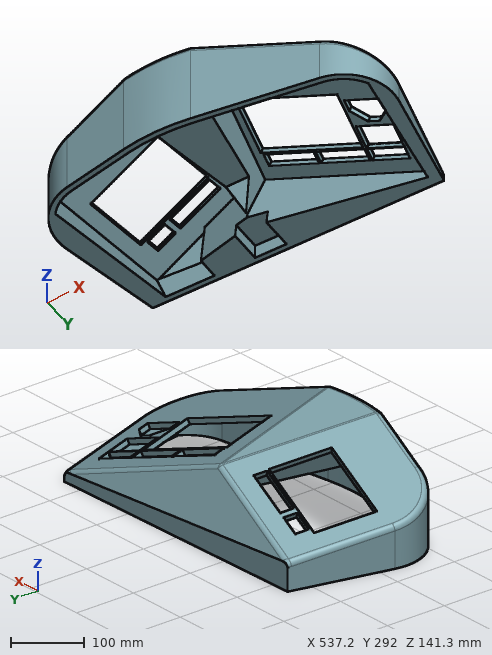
import math

import cadquery as cq

WALL = 9.0
END_WALL = 12.0
EDGE_RADIUS = 9.5
WINDOW_DEPTH = 12.0
BEHIND = 376.0
BLANK_HEIGHT = 215.0
CUT_SIZE = 2148.5

LEFT_BACK = (-189.5, 282.0)
LEFT_CORNER = (-245.0, 39.0)
NOSE_LEFT = (-57.0, 5.0)
NOSE_TIP = (0.0, 0.0)
NOSE_RIGHT = (52.0, 4.5)
RIGHT_CORNER = (324.0, 48.0)
RIGHT_BACK = (275.5, 292.0)
LEFT_CORNER_RADIUS = 82.0
RIGHT_CORNER_RADIUS = 80.5

APEX = (0.0, 246.0, 110.5)
RIDGE_FRONT_HEIGHT = 142.0
LEFT_BACK_HEIGHT = 43.0
RIGHT_BACK_HEIGHT = 15.5

LEFT_HEADING = -10.2
RIGHT_HEADING = 8.9

SMALL_ROW = (-53.5, -33.5)
MAIN_ROW = (-153.5, -57.5)
SIDE_ROW = (-95.0, -55.5)

LEFT_WINDOWS = [
    ((-168.5, -35.5), MAIN_ROW),
    ((-159.5, -125.0), SMALL_ROW),
    ((-115.5, -37.0), SMALL_ROW),
]
RIGHT_WINDOWS = [
    ((36.0, 196.5), MAIN_ROW),
    ((39.0, 117.5), SMALL_ROW),
    ((121.0, 197.5), SMALL_ROW),
    ((201.5, 260.5), SMALL_ROW),
    ((201.5, 260.5), SIDE_ROW),
]
HOOD_WINDOW = [(203.0, -142.5), (203.0, -123.5), (224.0, -103.0), (242.0, -103.0), (262.5, -123.0), (262.5, -142.5)]

BACK_INSET = 21.0
WEB_HEIGHT = 72.0
WEB_SLOPE_START = 201.5
WEB_SIDE_OFFSET = 22.5
WEB_BLANK_HALF_WIDTH = 161.0
RECESS_EDGE = -85.5
NOTCH_LEFT = -20.5
NOTCH_RIGHT = 29.5
NOTCH_HEIGHT = 23.0


def raised(point, height):
    """Plan point lifted to a height."""
    return cq.Vector(point[0], point[1], height)


def panel_normal(origin, second, third):
    """Upward unit normal of the plane through three points."""
    normal = (second - origin).cross(third - origin).normalized()
    return normal if normal.z > 0 else normal * -1


def trim_beyond(body, origin, normal):
    """Remove what lies on the normal's side of a plane."""
    plane = cq.Plane(origin=origin, normal=normal)
    return body.cut(cq.Workplane(plane).rect(CUT_SIZE, CUT_SIZE).extrude(CUT_SIZE))


APEX_POINT = cq.Vector(*APEX)
RIDGE_LEFT = raised(NOSE_LEFT, RIDGE_FRONT_HEIGHT)
RIDGE_RIGHT = raised(NOSE_RIGHT, RIDGE_FRONT_HEIGHT)
LEFT_BACK_POINT = raised(LEFT_BACK, LEFT_BACK_HEIGHT)
RIGHT_BACK_POINT = raised(RIGHT_BACK, RIGHT_BACK_HEIGHT)
LEFT_PANEL = (APEX_POINT, LEFT_BACK_POINT, RIDGE_LEFT)
MIDDLE_PANEL = (APEX_POINT, RIDGE_LEFT, RIDGE_RIGHT)
RIGHT_PANEL = (APEX_POINT, RIDGE_RIGHT, RIGHT_BACK_POINT)
BACK_SLOPE = (APEX_POINT, LEFT_BACK_POINT, RIGHT_BACK_POINT)


def under_roof(body, drop=0.0):
    """Trim a body to the roof faces, all lowered by drop along their normals."""
    for panel in (LEFT_PANEL, MIDDLE_PANEL, RIGHT_PANEL, BACK_SLOPE):
        normal = panel_normal(*panel)
        body = trim_beyond(body, APEX_POINT - normal * drop, normal)
    return body


def footprint_prism():
    """Blank over the whole outline, with its two front corners rounded."""
    prism = (
        cq.Workplane("XY")
        .moveTo(*LEFT_BACK)
        .lineTo(*LEFT_CORNER)
        .lineTo(*NOSE_LEFT)
        .threePointArc(NOSE_TIP, NOSE_RIGHT)
        .lineTo(*RIGHT_CORNER)
        .lineTo(*RIGHT_BACK)
        .close()
        .extrude(BLANK_HEIGHT)
    )
    corners = ((LEFT_CORNER, LEFT_CORNER_RADIUS), (RIGHT_CORNER, RIGHT_CORNER_RADIUS))
    for corner, radius in corners:
        upright = cq.selectors.NearestToPointSelector((*corner, BLANK_HEIGHT / 2))
        prism = prism.edges("|Z").edges(upright).fillet(radius)
    return prism


def rounded_roof_edges(body):
    """Round every roof edge except the one along the straight back wall."""
    back_line = min(LEFT_BACK[1], RIGHT_BACK[1])

    def is_rounded(edge):
        ends = (edge.startPoint(), edge.endPoint())
        on_base = min(end.z for end in ends) < EDGE_RADIUS
        on_back_wall = min(end.y for end in ends) > back_line - EDGE_RADIUS
        return not on_base and not on_back_wall

    edges = [edge for edge in body.edges().vals() if is_rounded(edge)]
    return body.newObject(edges).fillet(EDGE_RADIUS)


def web():
    """Wedge hanging below the ridges, its sides square to the panels, sloping down to the back block."""
    wedge = (
        cq.Workplane("YZ")
        .polyline([
            (-WALL, WEB_HEIGHT),
            (WEB_SLOPE_START, WEB_HEIGHT),
            (APEX[1] - BACK_INSET, NOTCH_HEIGHT),
            (BEHIND, NOTCH_HEIGHT),
            (BEHIND, BLANK_HEIGHT),
            (-WALL, BLANK_HEIGHT),
        ])
        .close()
        .extrude(WEB_BLANK_HALF_WIDTH, both=True)
    )
    left_side = (RIDGE_LEFT - APEX_POINT).cross(panel_normal(*LEFT_PANEL)).normalized()
    right_side = panel_normal(*RIGHT_PANEL).cross(RIDGE_RIGHT - APEX_POINT).normalized()
    for side in (left_side, right_side):
        wedge = trim_beyond(wedge, APEX_POINT + side * WEB_SIDE_OFFSET, side)
    return wedge


def back_block():
    """Thick back wall whose V-shaped front is square to both panels."""
    block = (
        cq.Workplane("XY")
        .box(RIGHT_CORNER[0] - RECESS_EDGE, BEHIND, BLANK_HEIGHT, centered=False)
        .translate((RECESS_EDGE, 0, 0))
    )
    for sheet in (left_sheet, right_sheet):
        forward = sheet.plane.yDir * -1
        block = trim_beyond(block, APEX_POINT + forward * WALL, forward)
    notch = (
        cq.Workplane("XY")
        .box(NOTCH_RIGHT - NOTCH_LEFT, BEHIND, NOTCH_HEIGHT, centered=False)
        .translate((NOTCH_LEFT, 0, 0))
    )
    return block.cut(notch)


def cavity(prism):
    """Inner space, open below, its ends square to the panels."""
    outline = prism.faces("<Z").wires().val()
    space = cq.Workplane("XY").newObject(outline.offset2D(-WALL)).toPending().extrude(BLANK_HEIGHT)
    ends = (
        (left_sheet, LEFT_BACK_POINT, -1),
        (right_sheet, RIGHT_BACK_POINT, 1),
    )
    for sheet, corner, side in ends:
        outward = sheet.plane.xDir * side
        space = trim_beyond(space, corner - outward * END_WALL, outward)
    return under_roof(space.cut(back_block()).cut(web()), drop=WALL)


def panel_workplane(panel, heading):
    """Workplane on a roof panel at the apex, with its first axis along the window rows."""
    normal = panel_normal(*panel)
    angle = math.radians(heading)
    run_x = math.cos(angle)
    run_y = math.sin(angle)
    rise = -(normal.x * run_x + normal.y * run_y) / normal.z
    return cq.Workplane(cq.Plane(origin=APEX_POINT, xDir=(run_x, run_y, rise), normal=normal))


def polygon_cutter(sheet, outline):
    """Prism that cuts a window square to its panel."""
    return sheet.polyline(outline).close().extrude(-WINDOW_DEPTH)


left_sheet = panel_workplane(LEFT_PANEL, LEFT_HEADING)
right_sheet = panel_workplane(RIGHT_PANEL, RIGHT_HEADING)
prism = footprint_prism()
housing = rounded_roof_edges(under_roof(prism)).cut(cavity(prism))

for sheet, windows in ((left_sheet, LEFT_WINDOWS), (right_sheet, RIGHT_WINDOWS)):
    for (left, right), (front, back) in windows:
        outline = [(left, front), (right, front), (right, back), (left, back)]
        housing = housing.cut(polygon_cutter(sheet, outline))
result = housing.cut(polygon_cutter(right_sheet, HOOD_WINDOW))